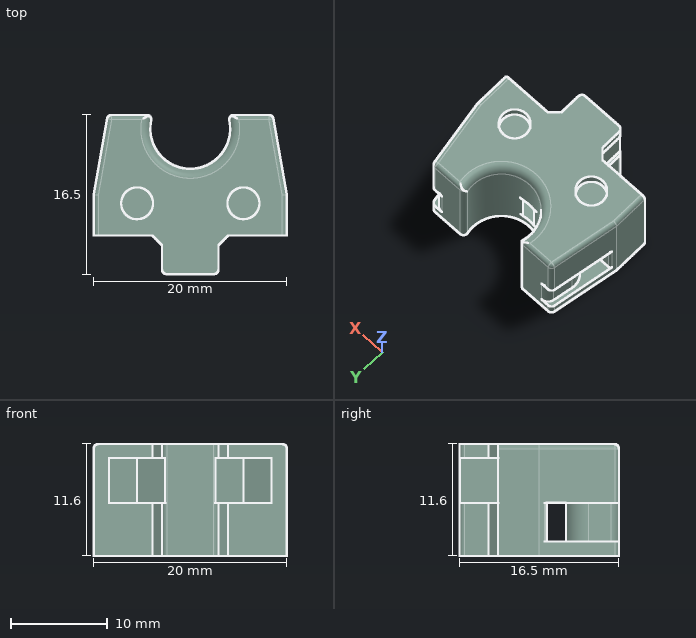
import cadquery as cq
import math

width = 20.0
depth = 16.5
height = 11.6
body_front = 4.0
taper_start = 8.25
taper_angle = math.radians(10)
edge_round = 0.5

tab_width = 5.85
tab_chamfer = 1.0

bore_radius = 4.12
bore_center = 15.05
bore_round = 1.0

screw_x = 5.5
screw_y = 7.35
screw_diameter = 3.3
top_hole_depth = 1.32
nut_width = 5.8
slot_floor = 5.5
slot_top = 10.15

channel_floor = 1.52
channel_top = slot_floor
channel_front = 9.05
core_front = 11.0
core_inset = 0.55
core_front_round = 2.0
core_back_round = 1.0
mouth_round = 0.3

half_width = width / 2

margin = 0.2


def flank_x(y):
    """Half width of the tapered part of the body at a given y."""
    return half_width - (y - taper_start) * math.tan(taper_angle)


def block(x_size, y_from, y_to, z_from, z_to, x_center=0.0):
    """Box given by its width and its y and z ranges."""
    corner = cq.Workplane("XY", origin=(x_center, y_from, z_from))
    return corner.box(x_size, y_to - y_from, z_to - z_from, centered=(True, False, False))


def make_body():
    half_tab = tab_width / 2
    right_side = [
        (half_tab, 0),
        (half_tab, body_front - tab_chamfer),
        (half_tab + tab_chamfer, body_front),
        (half_width, body_front),
        (half_width, taper_start),
        (flank_x(depth), depth),
    ]
    left_side = [(-x, y) for x, y in reversed(right_side)]
    body = cq.Workplane("XY").polyline(right_side + left_side).close().extrude(height)
    tab_corners = cq.selectors.BoxSelector(
        (-half_tab - margin, -margin, 0), (half_tab + margin, margin, height)
    )
    body = body.edges("|Z").edges(tab_corners).fillet(edge_round)
    body = body.edges("|Z").edges(">Y").fillet(edge_round)
    bore = cq.Workplane("XY").center(0, bore_center).circle(bore_radius).extrude(height)
    body = body.cut(bore)
    bore_mouth = cq.selectors.BoxSelector(
        (-bore_radius - margin, depth - margin, 0), (bore_radius + margin, depth + margin, height)
    )
    return body.edges("|Z").edges(bore_mouth).fillet(edge_round)


def round_top_edges(body):
    """Round the top edges of the flanks and the back, leaving the bore rim and the front sharp."""
    inner_x = bore_radius + margin
    front_y = body_front + margin
    back_y = depth + margin
    left_edges = cq.selectors.BoxSelector((-width, front_y, 0), (-inner_x, back_y, height + margin))
    right_edges = cq.selectors.BoxSelector((inner_x, front_y, 0), (width, back_y, height + margin))
    return body.faces(">Z").edges(left_edges + right_edges).fillet(edge_round)


def bore_rounding():
    """Material to remove so that the top rim of the bore is rounded."""
    arc_middle = bore_round * (1 - math.sqrt(0.5))
    return (
        cq.Workplane("XZ")
        .moveTo(0, height - bore_round)
        .lineTo(bore_radius, height - bore_round)
        .threePointArc(
            (bore_radius + arc_middle, height - arc_middle),
            (bore_radius + bore_round, height),
        )
        .lineTo(0, height)
        .close()
        .revolve()
        .translate((0, bore_center, 0))
    )


def cut_screw(body, x):
    """Blind hole in the top, nut slot open to the front, and hole to the bottom."""
    slot_height = slot_top - slot_floor
    nut = (
        cq.Workplane("XY")
        .polygon(6, nut_width / math.cos(math.pi / 6))
        .extrude(slot_height)
        .rotate((0, 0, 0), (0, 0, 1), 30)
        .translate((x, screw_y, slot_floor))
    )
    entry = block(nut_width, 0, screw_y, slot_floor, slot_top, x)
    hole = cq.Workplane("XY").center(x, screw_y).circle(screw_diameter / 2)
    lower_hole = hole.extrude(slot_floor)
    top_hole = (
        cq.Workplane("XY", origin=(x, screw_y, height)).circle(screw_diameter / 2).extrude(-top_hole_depth)
    )
    return body.cut(nut).cut(entry).cut(lower_hole).cut(top_hole)


def make_channel():
    inset_x = core_inset / math.cos(taper_angle)
    core_front_x = flank_x(core_front) - inset_x
    core_back_x = flank_x(depth) - inset_x
    core = (
        cq.Workplane("XY", origin=(0, 0, channel_floor))
        .polyline(
            [
                (-core_front_x, core_front),
                (core_front_x, core_front),
                (core_back_x, depth),
                (-core_back_x, depth),
            ]
        )
        .close()
        .extrude(channel_top - channel_floor)
    )
    core = core.edges("|Z and <Y").fillet(core_front_round)
    core = core.edges("|Z and >Y").fillet(core_back_round)
    return block(width, channel_front, depth, channel_floor, channel_top).cut(core)


def round_channel_mouths(body):
    mouth_x = flank_x(channel_front)
    for x in (-mouth_x, mouth_x):
        middle = (x, channel_front, (channel_floor + channel_top) / 2)
        body = body.edges(cq.selectors.NearestToPointSelector(middle)).fillet(mouth_round)
    return body


result = round_top_edges(make_body()).cut(bore_rounding())
result = round_channel_mouths(result.cut(make_channel()))
for screw_side in (-1, 1):
    result = cut_screw(result, screw_side * screw_x)